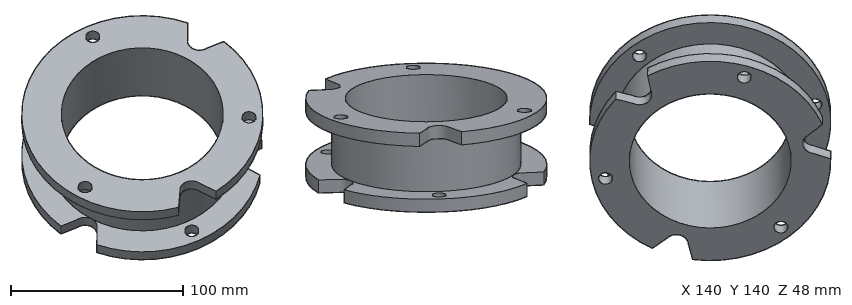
import cadquery as cq
import math

height = 48.0
flange_radius = 70.0
flange_thickness = 8.0
hub_radius = 55.0
bore_radius = 47.0

bolt_circle_radius = 62.0
bolt_hole_diameter = 8.0
notch_radius = bolt_circle_radius - hub_radius
notch_side_lean = 31.7
notch_arc_end = 20.5

top_hole_angles = (60.0, 180.0, 300.0)
top_notch_angles = (0.0, 120.0)
bottom_hole_angles = (0.0, 120.0, 240.0)
bottom_notch_angles = (60.0, 180.0, 300.0)


def cylinder(radius, length):
    """Upright cylinder standing on the XY plane."""
    return cq.Workplane("XY").circle(radius).extrude(length)


def notch_cutter():
    """Flared notch on +X: an arc about the bolt position, then a straight side from each end."""
    arc_end_angle = math.radians(notch_arc_end)
    start_x = bolt_circle_radius - notch_radius * math.sin(arc_end_angle)
    start_y = notch_radius * math.cos(arc_end_angle)
    end_x = flange_radius + notch_radius
    end_y = start_y + (end_x - start_x) * math.tan(math.radians(notch_side_lean))
    return (
        cq.Workplane("XY")
        .moveTo(end_x, -end_y)
        .lineTo(start_x, -start_y)
        .threePointArc((hub_radius, 0), (start_x, start_y))
        .lineTo(end_x, end_y)
        .close()
        .extrude(flange_thickness)
    )


def flange(hole_angles, notch_angles):
    """Disc with bolt holes and flared notches at the given angles."""
    disc = cylinder(flange_radius, flange_thickness)
    hole = cylinder(bolt_hole_diameter / 2, flange_thickness).translate((bolt_circle_radius, 0, 0))
    notch = notch_cutter()
    for angle in hole_angles:
        disc = disc.cut(hole.rotate((0, 0, 0), (0, 0, 1), angle))
    for angle in notch_angles:
        disc = disc.cut(notch.rotate((0, 0, 0), (0, 0, 1), angle))
    return disc


bottom_flange = flange(bottom_hole_angles, bottom_notch_angles)
top_flange = flange(top_hole_angles, top_notch_angles).translate((0, 0, height - flange_thickness))
hub = cylinder(hub_radius, height)
bore = cylinder(bore_radius, height)

result = hub.union(bottom_flange).union(top_flange).cut(bore)